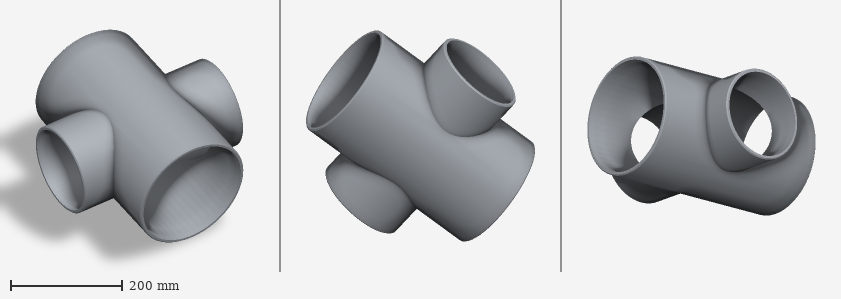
import cadquery as cq

run_diameter = 219.1
run_length = 355.6
branch_diameter = 168.3
branch_length = 336.3
wall = 6.3

end_bevel = 2.0


def cylinder(plane, diameter, length):
    """Solid cylinder centred on the origin, along the normal of the plane."""
    return cq.Workplane(plane).workplane(offset=-length / 2).circle(diameter / 2).extrude(length)


def pipe_body(plane, diameter, length):
    """Solid outer form of a pipe with both ends bevelled."""
    return cylinder(plane, diameter, length).edges("%CIRCLE").chamfer(end_bevel)


def pipe_bore(plane, diameter, length):
    """Through bore that leaves the wall thickness inside a pipe."""
    return cylinder(plane, diameter - 2 * wall, length)


run = ("YZ", run_diameter, run_length)
branch = ("XZ", branch_diameter, branch_length)

outer = pipe_body(*run).union(pipe_body(*branch))

result = outer.cut(pipe_bore(*run)).cut(pipe_bore(*branch))